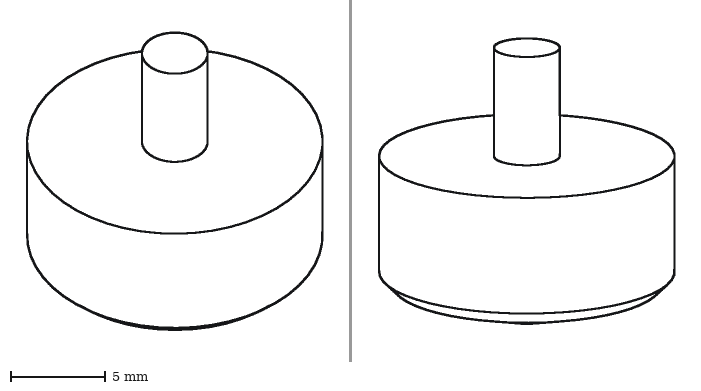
import cadquery as cq

body_diameter = 15.7
pin_diameter = 3.5
total_height = 15.3
pin_length = 6.0
body_wall_height = 6.4
edge_chamfer = 0.72

body_radius = body_diameter / 2
pin_radius = pin_diameter / 2
shoulder_level = total_height - pin_length
wall_bottom_level = shoulder_level - body_wall_height
cone_height = wall_bottom_level - edge_chamfer
cone_base_radius = body_radius - edge_chamfer

half_section = (
    cq.Workplane("XZ")
    .moveTo(0, 0)
    .lineTo(cone_base_radius, cone_height)
    .lineTo(body_radius, wall_bottom_level)
    .lineTo(body_radius, shoulder_level)
    .lineTo(pin_radius, shoulder_level)
    .lineTo(pin_radius, total_height)
    .lineTo(0, total_height)
    .close()
)

result = half_section.revolve(360, (0, 0, 0), (0, 1, 0))